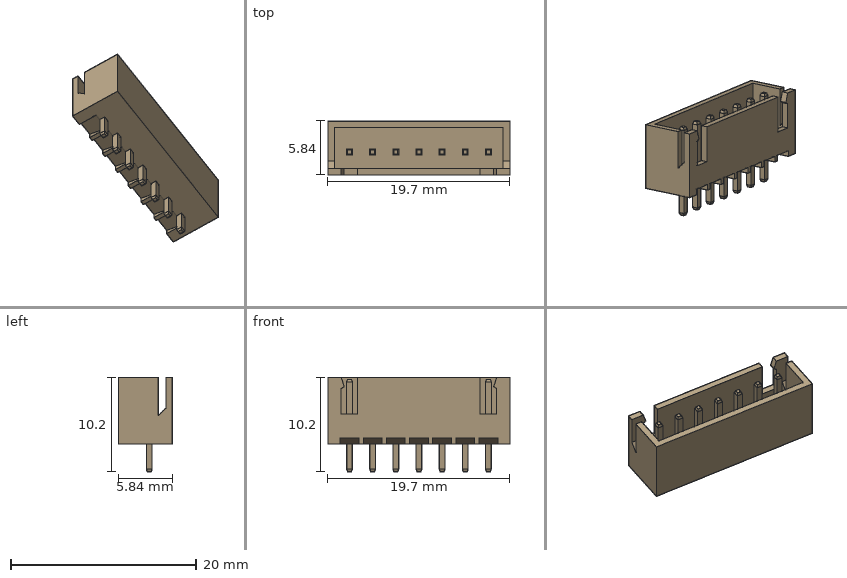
import cadquery as cq


pin_count = 7
pin_pitch = 2.5
pin_width = 0.64
pin_bottom_z = -3.0
pin_tip_height = 0.3
pin_tip_inset = 0.11
pin_top_recess = 0.22

body_length = 19.67
body_depth = 5.84
body_height = 7.21
end_wall = 0.735
side_wall = 0.71
floor_thickness = 0.8
front_to_pins = 2.51

front_slot_width = 1.78
front_slot_floor_z = 3.26
front_slot_end_distance = 1.44
barb_reach = 0.32
barb_tip_drop = 1.0
barb_root_drop = 1.22

end_slot_width = 0.82
end_slot_front_z = 3.9
end_slot_back_z = 3.07

relief_width = 2.03
relief_height = 0.64
relief_depth = front_to_pins - pin_width / 2

front_y = -front_to_pins
back_y = front_y + body_depth
inner_front_y = front_y + side_wall
pin_positions = [(i - (pin_count - 1) / 2) * pin_pitch for i in range(pin_count)]


def box(x_min, x_max, y_min, y_max, z_min, z_max):
    size = (x_max - x_min, y_max - y_min, z_max - z_min)
    return cq.Workplane("XY").box(*size, centered=False).translate((x_min, y_min, z_min))


def make_shell():
    half_length = body_length / 2
    half_cavity = half_length - end_wall
    outer = box(-half_length, half_length, front_y, back_y, 0, body_height)
    cavity = box(-half_cavity, half_cavity, inner_front_y, back_y - side_wall, floor_thickness, body_height)
    return outer.cut(cavity)


def make_front_slot(side):
    """Slot in the front wall; side is -1 for the left end and +1 for the right end."""
    outer_x = body_length / 2 - front_slot_end_distance
    inner_x = outer_x - front_slot_width
    outline = [
        (outer_x, body_height),
        (outer_x - barb_reach, body_height - barb_tip_drop),
        (outer_x, body_height - barb_root_drop),
        (outer_x, front_slot_floor_z),
        (inner_x, front_slot_floor_z),
        (inner_x, body_height),
    ]
    slot = cq.Workplane("XZ", origin=(0, inner_front_y, 0))
    return slot.polyline([(side * x, z) for x, z in outline]).close().extrude(side_wall)


def make_end_slots():
    """One prism along the whole length, notching both end walls above the cavity floor."""
    end_slot_back_y = inner_front_y + end_slot_width
    outline = [
        (inner_front_y, body_height),
        (inner_front_y, end_slot_front_z),
        (end_slot_back_y, end_slot_back_z),
        (end_slot_back_y, body_height),
    ]
    return cq.Workplane("YZ").polyline(outline).close().extrude(body_length / 2, both=True)


def make_relief(x):
    """Sloping cut that rises from the underside to the front face."""
    outline = [(front_y, 0), (front_y, relief_height), (front_y + relief_depth, 0)]
    relief = cq.Workplane("YZ", origin=(x, 0, 0)).polyline(outline).close()
    return relief.extrude(relief_width / 2, both=True)


def make_pin_tip(x, base_z, rise):
    """Square tip narrowing away from base_z, upward for a positive rise and downward for a negative one."""
    end_width = pin_width - 2 * pin_tip_inset
    base = cq.Workplane("XY", origin=(x, 0, base_z)).rect(pin_width, pin_width)
    return base.workplane(offset=rise).rect(end_width, end_width).loft(ruled=True)


def make_pin(x):
    """Square pin with a tapered tip at both ends."""
    top_z = body_height - pin_top_recess
    half_width = pin_width / 2
    shank_bottom_z = pin_bottom_z + pin_tip_height
    shank_top_z = top_z - pin_tip_height
    shank = box(x - half_width, x + half_width, -half_width, half_width, shank_bottom_z, shank_top_z)
    top_tip = make_pin_tip(x, shank_top_z, pin_tip_height)
    bottom_tip = make_pin_tip(x, shank_bottom_z, -pin_tip_height)
    return shank.union(top_tip).union(bottom_tip)


result = make_shell().cut(make_end_slots())
for side in (-1, 1):
    result = result.cut(make_front_slot(side))
for pin_x in pin_positions:
    result = result.cut(make_relief(pin_x))
for pin_x in pin_positions:
    result = result.union(make_pin(pin_x))